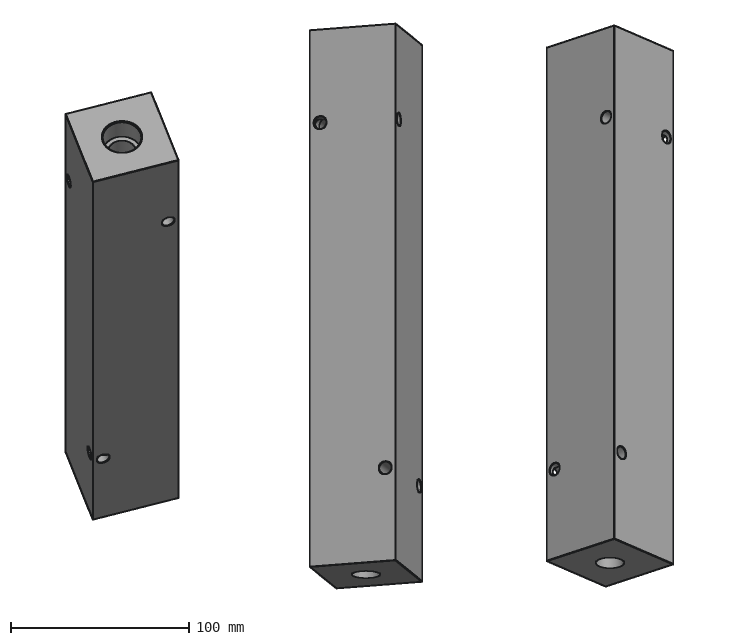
import cadquery as cq

side = 50.7
length = 311.0
edge_chamfer = 0.3

bore_diameter = 16.0
counterbore_diameter = 21.5
counterbore_depth = 13.7
counterbore_chamfer = 0.5

cross_hole_diameter = 7.2
cross_hole_chamfer = 0.3
edge_distance = 6.2
end_distance = 54.0

cross_hole_offset = side / 2 - edge_distance
cross_hole_height = length / 2 - end_distance


def make_bar():
    return cq.Workplane("XY").box(side, side, length).edges().chamfer(edge_chamfer)


def cut_bore(bar):
    bored = bar.faces(">Z").workplane().cboreHole(bore_diameter, counterbore_diameter, counterbore_depth)
    return bored.faces(">Z").edges("%CIRCLE").chamfer(counterbore_chamfer)


def cross_hole_cutter():
    """Cutter along Z, as long as the bar is wide, flared at both ends for the mouth chamfers."""
    radius = cross_hole_diameter / 2
    flared_radius = radius + cross_hole_chamfer
    half_side = side / 2
    chamfer_start = half_side - cross_hole_chamfer
    profile = [
        (0, -half_side),
        (flared_radius, -half_side),
        (radius, -chamfer_start),
        (radius, chamfer_start),
        (flared_radius, half_side),
        (0, half_side),
    ]
    return cq.Workplane("XZ").polyline(profile).close().revolve(360, (0, 0), (0, 1))


def cut_cross_holes(bar):
    cutter = cross_hole_cutter()
    along_x = cutter.rotate((0, 0, 0), (0, 1, 0), 90)
    along_y = cutter.rotate((0, 0, 0), (1, 0, 0), 90)
    for end in (1, -1):
        height = end * cross_hole_height
        bar = bar.cut(along_x.translate((0, end * cross_hole_offset, height)))
        bar = bar.cut(along_y.translate((-end * cross_hole_offset, 0, height)))
    return bar


result = cut_cross_holes(cut_bore(make_bar()))